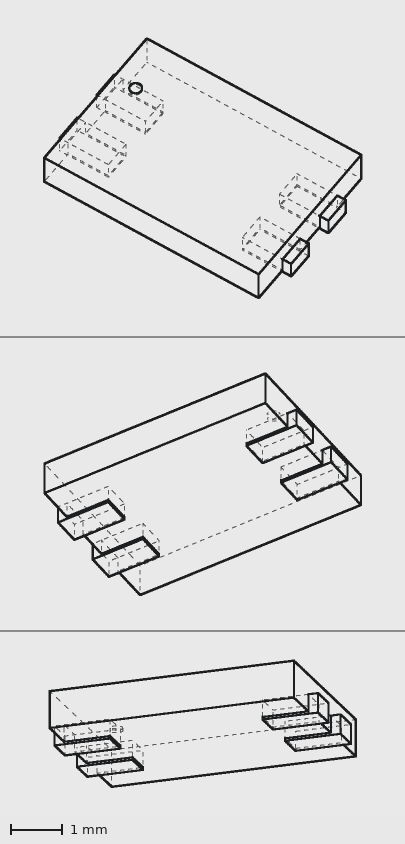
import cadquery as cq

housing_length = 5.01
housing_width = 3.51
overall_height = 0.81
standoff = 0.05
housing_height = overall_height - standoff

overall_length = 5.41
terminal_length = 1.14
terminal_width = 0.6
terminal_height = 0.4
terminal_pitch = 1.27
terminal_x = (overall_length - terminal_length) / 2
terminal_y = terminal_pitch / 2

marker_diameter = 0.25
marker_depth = 0.05
marker_x = -2.0
marker_y = terminal_y


def make_terminal(x, y):
    """Terminal bar standing on the seating plane, centred on (x, y)."""
    return (
        cq.Workplane("XY")
        .center(x, y)
        .box(terminal_length, terminal_width, terminal_height, centered=(True, True, False))
    )


def make_marker():
    """Disc whose upper face is level with the top of the housing."""
    return (
        cq.Workplane("XY", origin=(marker_x, marker_y, overall_height))
        .circle(marker_diameter / 2)
        .extrude(-marker_depth)
    )


def make_housing(inserts):
    """Block with a matching recess for every inserted body."""
    block = (
        cq.Workplane("XY", origin=(0, 0, standoff))
        .box(housing_length, housing_width, housing_height, centered=(True, True, False))
    )
    for insert in inserts:
        block = block.cut(insert)
    return block


terminals = [
    make_terminal(end * terminal_x, side * terminal_y)
    for end in (-1, 1)
    for side in (-1, 1)
]
marker = make_marker()
housing = make_housing([*terminals, marker])

result = cq.Compound.makeCompound(
    [housing.val(), marker.val(), *[terminal.val() for terminal in terminals]]
)